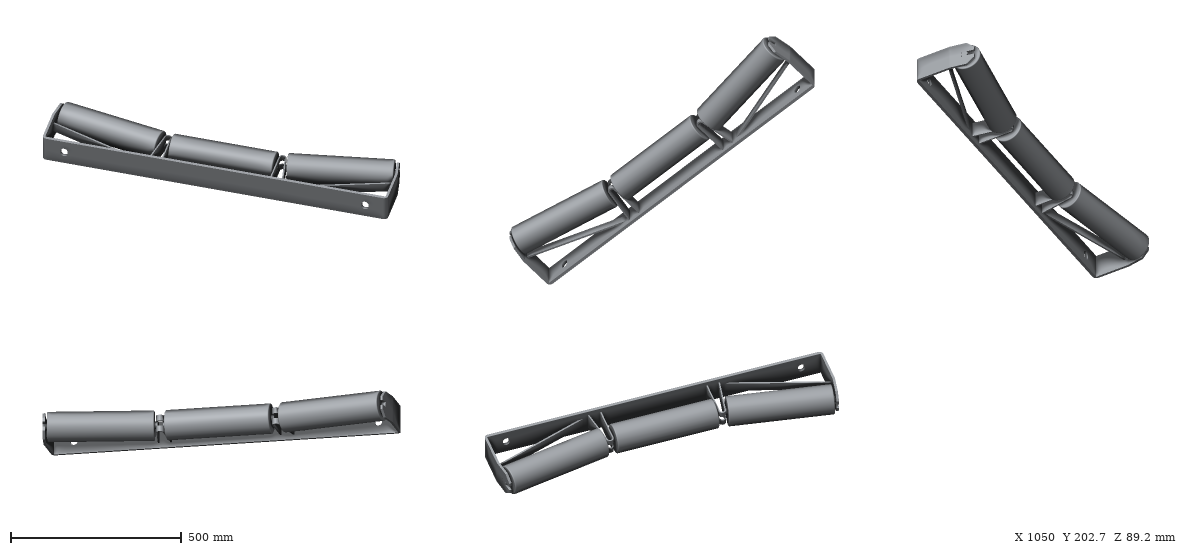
import cadquery as cq
import math

LENGTH = 1050.0
WIDTH = 80.0
BASE_THICK = 9.0
LEG_THICK = 7.0
CORNER_RADIUS = 13.0
LEG_BEND_Y = 117.0
LEG_BEND_RADIUS = 16.0
LEG_TOP_Y = 192.0
TILT = 10.0
LEG_TAPER_Y = 169.0
LEG_TIP_WIDTH = 38.0
HOLE_X = 458.0
HOLE_WIDTH = 21.0
HOLE_HEIGHT = 28.0

DRUM_RADIUS = 44.6
DRUM_LENGTH = 315.0
DRUM_ROUND = 3.0
SHAFT_RADIUS = 10.0
SHAFT_FLATS = 15.0
CENTRE_AXIS_Y = 101.0
SIDE_CENTRE_X = 349.0
SIDE_CENTRE_Y = 131.9

SHEET = 4.0
BRACKET_X = 163.0
BRACKET_TOP_Y = 129.0
BRACKET_RADIUS = 12.0
BRACKET_WIDTH = 50.0

BRACE_THICK = 5.0
BRACE_WIDTH = 29.0
BRACE_FOOT_X = 219.0
BRACE_HEAD_Y = 108.0

SAME_LEVEL = 0.1

HALF_LENGTH = LENGTH / 2
LEG_INNER_X = HALF_LENGTH - LEG_THICK
COS = math.cos(math.radians(TILT))
SIN = math.sin(math.radians(TILT))
TAN = SIN / COS
BEND_X = -BRACKET_X - BRACKET_RADIUS
BEND_Y = BRACKET_TOP_Y - BRACKET_RADIUS
BRACKET_INNER_RADIUS = BRACKET_RADIUS - SHEET


def distance_along_side_axis(x, y):
    """Signed distance of a point from the left roller's middle, along its axis, positive inward."""
    return (x + SIDE_CENTRE_X) * COS - (y - SIDE_CENTRE_Y) * SIN


LEG_SHAFT_END = -distance_along_side_axis(-HALF_LENGTH, LEG_BEND_Y)
TILTED_SHAFT_END = distance_along_side_axis(BEND_X, BEND_Y) - BRACKET_INNER_RADIUS
CENTRE_SHAFT_END = BRACKET_X + SHEET


def across_width(outline, width):
    """Extrude a closed XY outline symmetrically about Z = 0."""
    return outline.close().extrude(width / 2, both=True)


def mirrored(body):
    return body.mirror("YZ")


def place_on_side_axis(body):
    """Move a body from the origin, axis along X, to the left roller's place."""
    return body.rotate((0, 0, 0), (0, 0, 1), -TILT).translate((-SIDE_CENTRE_X, SIDE_CENTRE_Y, 0))


def taper_tip(body, start_y, top_y, tip_width):
    """Cut the two corners of an upright plate from full width to its tip width."""
    for side in (-1, 1):
        corner = (
            cq.Workplane("YZ")
            .polyline([(start_y, side * WIDTH / 2), (top_y, side * WIDTH / 2), (top_y, side * tip_width / 2)])
            .close()
            .extrude(HALF_LENGTH, both=True)
        )
        body = body.cut(corner)
    return body


def shaft_slot(start_x, length):
    """Slot along X with its floor under a shaft at the origin, open toward +Y."""
    return cq.Workplane("XY").box(length, LENGTH, SHAFT_FLATS, centered=(False, False, True)).translate(
        (start_x, -SHAFT_RADIUS, 0)
    )


def make_frame():
    lean = (LEG_TOP_Y - LEG_BEND_Y) * TAN
    tip_x = HALF_LENGTH - lean
    inner_bend_y = LEG_BEND_Y - LEG_THICK * math.tan(math.radians(TILT / 2))
    right_side = [
        (HALF_LENGTH, 0),
        (HALF_LENGTH, LEG_BEND_Y),
        (tip_x, LEG_TOP_Y),
        (tip_x - LEG_THICK * COS, LEG_TOP_Y - LEG_THICK * SIN),
        (LEG_INNER_X, inner_bend_y),
        (LEG_INNER_X, BASE_THICK),
    ]
    left_side = [(-x, y) for x, y in reversed(right_side)]
    frame = across_width(cq.Workplane("XY").polyline(right_side + left_side), WIDTH)
    frame = frame.edges("|Z").edges("<Y").fillet(CORNER_RADIUS)
    for bend_y, radius in ((LEG_BEND_Y, LEG_BEND_RADIUS), (inner_bend_y, LEG_BEND_RADIUS - LEG_THICK)):
        bend_level = cq.selectors.BoxSelector(
            (-LENGTH, bend_y - SAME_LEVEL, -WIDTH), (LENGTH, bend_y + SAME_LEVEL, WIDTH)
        )
        frame = frame.edges("|Z").edges(bend_level).fillet(radius)
    frame = taper_tip(frame, LEG_TAPER_Y, LEG_TOP_Y, LEG_TIP_WIDTH)

    slot = place_on_side_axis(shaft_slot(-LEG_SHAFT_END - LEG_THICK, 3 * LEG_THICK))
    frame = frame.cut(slot).cut(mirrored(slot))

    holes = cq.Workplane("XZ").pushPoints([(-HOLE_X, 0), (HOLE_X, 0)]).slot2D(HOLE_HEIGHT, HOLE_WIDTH, 90)
    return frame.cut(holes.extrude(-BASE_THICK))


def make_roller(left_end, right_end, left_plate, right_plate):
    """Roller along X; each shaft end is flattened over the thickness of its plate."""
    drum = cq.Workplane("YZ").circle(DRUM_RADIUS).extrude(DRUM_LENGTH).edges().fillet(DRUM_ROUND)
    drum = drum.translate((-DRUM_LENGTH / 2, 0, 0))
    round_length = left_end - left_plate + right_end - right_plate
    shaft = cq.Workplane("YZ").circle(SHAFT_RADIUS).extrude(round_length)
    shaft = shaft.translate((left_plate - left_end, 0, 0))
    tongue = cq.Workplane("YZ").circle(SHAFT_RADIUS).extrude(left_end + right_end)
    tongue = tongue.translate((-left_end, 0, 0)).intersect(
        cq.Workplane("XY").box(LENGTH, 2 * SHAFT_RADIUS, SHAFT_FLATS)
    )
    return drum.union(shaft).union(tongue)


def make_bracket():
    """Left bracket, with the upright flank facing the centre roller."""

    def lean_top(radius):
        return (BEND_X - radius * COS, BEND_Y + radius * SIN)

    def lean_foot(radius):
        x, y = lean_top(radius)
        return (x - (y - BASE_THICK) * TAN, BASE_THICK)

    outline = (
        cq.Workplane("XY")
        .moveTo(-BRACKET_X, BASE_THICK)
        .lineTo(-BRACKET_X, BEND_Y)
        .threePointArc((BEND_X, BRACKET_TOP_Y), lean_top(BRACKET_RADIUS))
        .lineTo(*lean_foot(BRACKET_RADIUS))
        .lineTo(*lean_foot(BRACKET_INNER_RADIUS))
        .lineTo(*lean_top(BRACKET_INNER_RADIUS))
        .threePointArc((BEND_X, BEND_Y + BRACKET_INNER_RADIUS), (BEND_X + BRACKET_INNER_RADIUS, BEND_Y))
        .lineTo(BEND_X + BRACKET_INNER_RADIUS, BASE_THICK)
    )
    bracket = across_width(outline, BRACKET_WIDTH)
    upright_slot = shaft_slot(BEND_X, BRACKET_RADIUS).translate((0, CENTRE_AXIS_Y, 0))
    leaning_slot = place_on_side_axis(shaft_slot(TILTED_SHAFT_END - SHEET, BRACKET_RADIUS))
    return bracket.cut(upright_slot).cut(leaning_slot)


def make_brace():
    """Left brace, cut off flush against the base and the leg."""
    slope = math.atan2(BRACE_HEAD_Y - BASE_THICK, LEG_INNER_X - BRACE_FOOT_X)
    outline = cq.Workplane("XY").polyline(
        [
            (-LEG_INNER_X, BRACE_HEAD_Y),
            (-LEG_INNER_X, BRACE_HEAD_Y - BRACE_THICK / math.cos(slope)),
            (-BRACE_FOOT_X - BRACE_THICK / math.sin(slope), BASE_THICK),
            (-BRACE_FOOT_X, BASE_THICK),
        ]
    )
    return across_width(outline, BRACE_WIDTH)


frame = make_frame()
centre_roller = make_roller(CENTRE_SHAFT_END, CENTRE_SHAFT_END, SHEET, SHEET).translate((0, CENTRE_AXIS_Y, 0))
side_roller = place_on_side_axis(make_roller(LEG_SHAFT_END, TILTED_SHAFT_END, LEG_THICK, SHEET))

bodies = [frame.val(), centre_roller.val()]
for left_body in (side_roller, make_bracket(), make_brace()):
    bodies.append(left_body.val())
    bodies.append(mirrored(left_body).val())

result = cq.Compound.makeCompound(bodies)